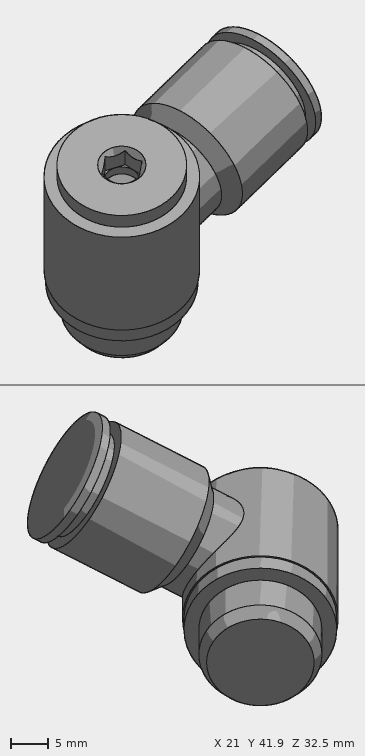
import cadquery as cq
import math

total_height = 32.5
body_top = 30.0
body_bottom = 10.0
collar_bottom = 7.45
stem_chamfer_height = 1.8

head_diameter = 17.5
body_diameter = 21.0
collar_diameter = 20.6
stem_diameter = 16.6
stem_tip_diameter = 14.5

arm_height = (body_top + body_bottom) / 2
neck_end = 12.15
sleeve_start = 14.15
sleeve_end = 28.15
flange_start = 29.9
flange_end = 31.15
arm_end = 31.4

neck_diameter = 15.0
sleeve_diameter = 19.0
groove_diameter = 15.5
end_face_diameter = 16.2

hex_across_flats = 5.0
hex_across_corners = hex_across_flats / math.cos(math.radians(30))
hex_depth = 3.5
countersink_diameter = 6.5
countersink_depth_per_radius = 1.28
drill_diameter = 4.95
drill_depth = 5.0
drill_point_angle = 118.0


def make_body():
    """Stepped round column about the Z axis."""
    profile = [
        (0, 0),
        (stem_tip_diameter / 2, 0),
        (stem_diameter / 2, stem_chamfer_height),
        (stem_diameter / 2, collar_bottom),
        (collar_diameter / 2, collar_bottom),
        (collar_diameter / 2, body_bottom),
        (body_diameter / 2, body_bottom),
        (body_diameter / 2, body_top),
        (head_diameter / 2, body_top),
        (head_diameter / 2, total_height),
        (0, total_height),
    ]
    return cq.Workplane("XZ").polyline(profile).close().revolve(360, (0, 0, 0), (0, 1, 0))


def make_arm():
    """Stepped round arm about a line parallel to Y, starting on the body axis."""
    profile = [
        (0, 0),
        (neck_diameter / 2, 0),
        (neck_diameter / 2, neck_end),
        (sleeve_diameter / 2, sleeve_start),
        (sleeve_diameter / 2, sleeve_end),
        (groove_diameter / 2, sleeve_end),
        (groove_diameter / 2, flange_start),
        (sleeve_diameter / 2, flange_start),
        (sleeve_diameter / 2, flange_end),
        (end_face_diameter / 2, arm_end),
        (0, arm_end),
    ]
    arm = cq.Workplane("XY").polyline(profile).close().revolve(360, (0, 0, 0), (0, 1, 0))
    return arm.translate((0, 0, arm_height))


def make_socket():
    """Countersunk hexagonal recess over a short drilled hole with a conical point."""
    hex_floor = total_height - hex_depth
    hexagon = (
        cq.Workplane("XY")
        .workplane(offset=hex_floor)
        .polygon(6, hex_across_corners)
        .extrude(hex_depth)
    )

    countersink_radius = countersink_diameter / 2
    countersink_depth = countersink_radius * countersink_depth_per_radius
    countersink = cq.Solid.makeCone(
        0, countersink_radius, countersink_depth, cq.Vector(0, 0, total_height - countersink_depth)
    )

    drill_radius = drill_diameter / 2
    drill_floor = total_height - drill_depth
    drill = cq.Workplane("XY").workplane(offset=drill_floor).circle(drill_radius).extrude(drill_depth)
    point_depth = drill_radius / math.tan(math.radians(drill_point_angle / 2))
    drill_point = cq.Solid.makeCone(
        0, drill_radius, point_depth, cq.Vector(0, 0, drill_floor - point_depth)
    )
    return hexagon.union(drill).union(cq.Workplane(countersink)).union(cq.Workplane(drill_point))


result = make_body().union(make_arm()).cut(make_socket())